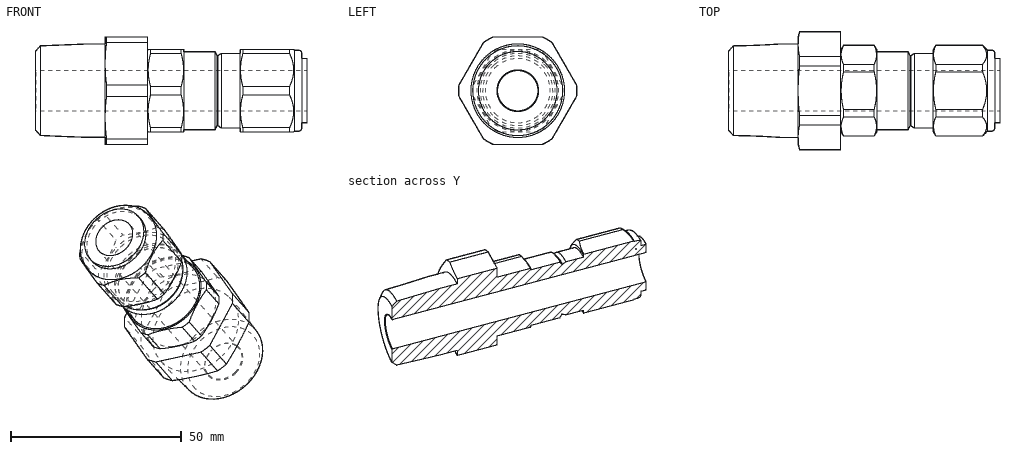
import cadquery as cq
import math

thread_tip_end = 1.5
thread_taper_end = 15.1
body_hex_start = 20.4
body_hex_end = 32.9
neck_hex_end = 43.5
collar_end = 52.6
groove_floor_start = 53.2
groove_floor_end = 53.4
groove_end = 54.4
nut_start = 59.9
nut_hex_end = 75.8
nut_rim_curve_start = 76.95
nut_end = 78.0
total_length = 79.55

tip_radius = 11.5
thread_small_radius = 13.15
thread_large_radius = 13.7
collar_radius = 11.45
groove_radius = 10.25
sleeve_radius = 10.95
nut_rim_radius = 11.9
rear_ring_radius = 9.45
bore_radius = 5.9
bore_edge_break = 0.2

body_flats = 31.5
body_corner_diameter = 34.64
small_flats = 24.2
small_corner_diameter = 26.6

flat_rotation = 30

body_chamfer_radius = 15.6
small_chamfer_radius = 11.9
shallow_chamfer_angle = 15
neck_chamfer_angle = 30
nut_rear_chamfer_angle = 45


def revolve_about_x(points):
    """Solid of revolution about X from a closed (x, radius) outline."""
    return cq.Workplane("XZ").polyline(points).close().revolve(360, (0, 0, 0), (1, 0, 0))


def cylinder(start, end, radius):
    return cq.Workplane("YZ", origin=(start, 0, 0)).circle(radius).extrude(end - start)


def chamfered_hex(start, end, flats, corner_diameter, chamfer_radius, start_angle, end_angle):
    """Hexagon with flats facing +Z and -Z, trimmed by a turned blank with coned ends.

    A chamfer angle of zero leaves that end square.
    """
    corner_radius = corner_diameter / 2
    drop = corner_radius - chamfer_radius
    start_cone = drop * math.tan(math.radians(start_angle))
    end_cone = drop * math.tan(math.radians(end_angle))
    outline = [(start, 0)]
    if start_angle:
        outline.append((start, chamfer_radius))
    outline.append((start + start_cone, corner_radius))
    outline.append((end - end_cone, corner_radius))
    if end_angle:
        outline.append((end, chamfer_radius))
    outline.append((end, 0))
    prism = (
        cq.Workplane("YZ", origin=(start, 0, 0))
        .polygon(6, flats, circumscribed=True)
        .extrude(end - start)
        .rotate((0, 0, 0), (1, 0, 0), flat_rotation)
    )
    return prism.intersect(revolve_about_x(outline))


def make_thread_end():
    """Tapered male thread envelope with a coned tip and a plain run-out."""
    return revolve_about_x([
        (0, 0),
        (0, tip_radius),
        (thread_tip_end, thread_small_radius),
        (thread_taper_end, thread_large_radius),
        (body_hex_start, thread_large_radius),
        (body_hex_start, 0),
    ])


def make_neck():
    """Round collar, V groove and the sleeve that enters the nut."""
    return revolve_about_x([
        (neck_hex_end, 0),
        (neck_hex_end, collar_radius),
        (collar_end, collar_radius),
        (groove_floor_start, groove_radius),
        (groove_floor_end, groove_radius),
        (groove_end, sleeve_radius),
        (nut_start, sleeve_radius),
        (nut_start, 0),
    ])


def make_nut():
    """Hexagonal nut with a rounded rear rim and a protruding ring."""
    hexagon = chamfered_hex(
        nut_start, nut_hex_end, small_flats, small_corner_diameter, small_chamfer_radius,
        neck_chamfer_angle, nut_rear_chamfer_angle,
    )
    rim_round = nut_end - nut_rim_curve_start
    rim = cylinder(nut_hex_end, nut_end, nut_rim_radius).faces(">X").edges().fillet(rim_round)
    ring = cylinder(nut_end, total_length, rear_ring_radius)
    return hexagon.union(rim).union(ring)


def make_bore():
    """Through bore with its edge broken at the threaded end."""
    return revolve_about_x([
        (0, 0),
        (0, bore_radius + bore_edge_break),
        (bore_edge_break, bore_radius),
        (total_length, bore_radius),
        (total_length, 0),
    ])


body_hex = chamfered_hex(
    body_hex_start, body_hex_end, body_flats, body_corner_diameter, body_chamfer_radius,
    shallow_chamfer_angle, 0,
)
neck_hex = chamfered_hex(
    body_hex_end, neck_hex_end, small_flats, small_corner_diameter, small_chamfer_radius,
    neck_chamfer_angle, neck_chamfer_angle,
)

fitting = make_thread_end().union(body_hex).union(neck_hex).union(make_neck()).union(make_nut())
result = fitting.cut(make_bore())